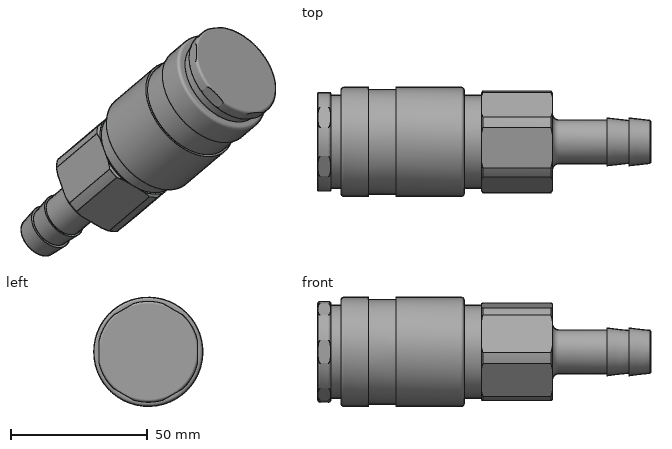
import cadquery as cq
import math

total_length = 122.0
front_x = -total_length / 2
tail_x = front_x + total_length

barrel_diameter = 34.2

collar_length = 4.9
collar_diameter = 37.0
collar_across_flats = 36.0
collar_edge_radius = 1.0
collar_turn = 30.0

nut_start_x = front_x + 59.9
nut_length = 26.1
nut_end_x = nut_start_x + nut_length
nut_diameter = 37.3
nut_across_flats = 34.2
nut_bevel_length = 0.6
nut_bevel_depth = 1.0
nut_turn = 7.2

stem_diameter = 16.1
stem_root_radius = 2.3
barb_diameter = 17.6
barb_end_diameter = 15.7
barb_length = 8.0
barb_count = 2
tail_chamfer = 0.4

sleeve_start_x = front_x + 8.5
sleeve_length = 45.2
sleeve_diameter = 40.0
sleeve_edge_radius = 1.1
band_offset = 10.0
band_width = 10.1
band_diameter = 38.5


def cylinder(start_x, length, diameter):
    """Round bar along X."""
    return cq.Workplane("YZ", origin=(start_x, 0, 0)).circle(diameter / 2).extrude(length)


def hexagon(start_x, length, across_flats, turn):
    """Hexagonal bar along X, turned about its axis by an angle in degrees."""
    across_corners = across_flats / math.cos(math.pi / 6)
    bar = cq.Workplane("YZ", origin=(start_x, 0, 0)).polygon(6, across_corners).extrude(length)
    return bar.rotate((0, 0, 0), (1, 0, 0), turn)


def make_collar():
    disc = cylinder(front_x, collar_length, collar_diameter).edges().fillet(collar_edge_radius)
    return disc.intersect(hexagon(front_x, collar_length, collar_across_flats, collar_turn))


def make_nut():
    blank = cylinder(nut_start_x, nut_length, nut_diameter)
    blank = blank.faces("<X or >X").chamfer(nut_bevel_length, nut_bevel_depth)
    return blank.intersect(hexagon(nut_start_x, nut_length, nut_across_flats, nut_turn))


def make_hose_tail():
    """Stem with a flared root, and barbs that each taper towards the open end."""
    stem_radius = stem_diameter / 2
    root_end_x = nut_end_x + stem_root_radius
    root_outer_radius = stem_radius + stem_root_radius
    arc_inset = stem_root_radius * (1 - math.sqrt(0.5))
    first_barb_x = tail_x - barb_count * barb_length

    outline = (
        cq.Workplane("XY")
        .moveTo(nut_end_x, 0)
        .lineTo(nut_end_x, root_outer_radius)
        .threePointArc((nut_end_x + arc_inset, stem_radius + arc_inset), (root_end_x, stem_radius))
        .lineTo(first_barb_x, stem_radius)
    )
    for index in range(barb_count):
        barb_x = first_barb_x + index * barb_length
        outline = outline.lineTo(barb_x, barb_diameter / 2)
        outline = outline.lineTo(barb_x + barb_length, barb_end_diameter / 2)
    tail = outline.lineTo(tail_x, 0).close().revolve(360, (0, 0, 0), (1, 0, 0))
    return tail.faces(">X").edges().chamfer(tail_chamfer)


def make_core():
    barrel = cylinder(front_x + collar_length, nut_start_x - front_x - collar_length, barrel_diameter)
    return barrel.union(make_collar()).union(make_nut()).union(make_hose_tail())


def make_sleeve():
    ring = cylinder(sleeve_start_x, sleeve_length, sleeve_diameter).edges().fillet(sleeve_edge_radius)
    band_x = sleeve_start_x + band_offset
    band_cutter = cylinder(band_x, band_width, sleeve_diameter).cut(
        cylinder(band_x, band_width, band_diameter)
    )
    bore = cylinder(sleeve_start_x, sleeve_length, barrel_diameter)
    return ring.cut(band_cutter).cut(bore)


core = make_core()
sleeve = make_sleeve()
result = cq.Compound.makeCompound([core.val(), sleeve.val()])